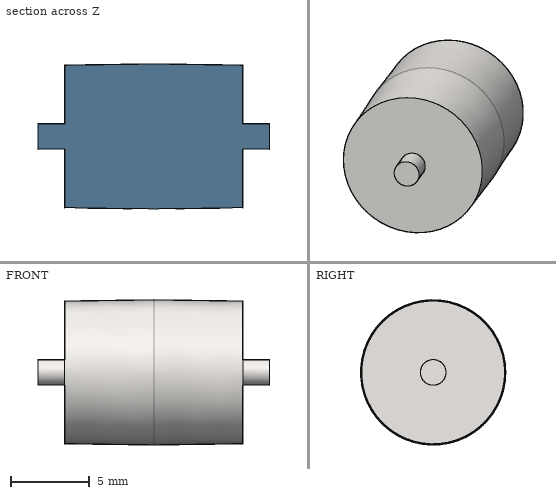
import cadquery as cq

overall_length = 14.73
body_length = 11.33
crown_diameter = 9.25
end_diameter = 9.09
journal_diameter = 1.63

half_body = body_length / 2
crown_radius = crown_diameter / 2
end_radius = end_diameter / 2


def make_body():
    """Two tapered halves, widest where they meet at the middle."""
    profile = (
        cq.Workplane("XY")
        .moveTo(-half_body, 0)
        .lineTo(-half_body, end_radius)
        .lineTo(0, crown_radius)
        .lineTo(half_body, end_radius)
        .lineTo(half_body, 0)
        .close()
    )
    return profile.revolve(360, (0, 0, 0), (1, 0, 0))


def make_journals():
    """One pin through the whole body, showing as a journal at both ends."""
    return (
        cq.Workplane("YZ")
        .circle(journal_diameter / 2)
        .extrude(overall_length / 2, both=True)
    )


result = make_body().union(make_journals())